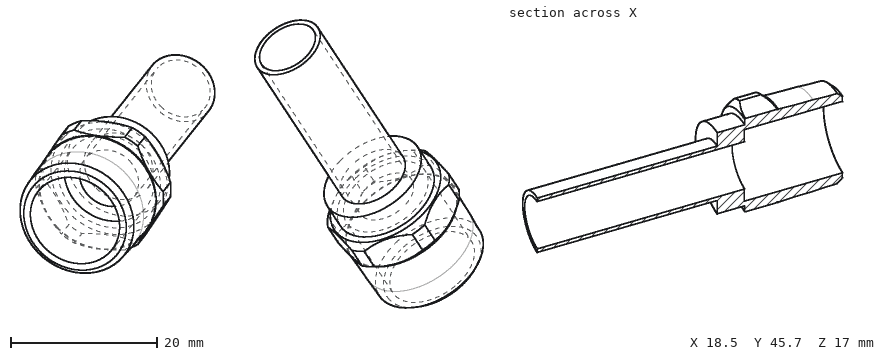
import cadquery as cq
import math

total_length = 45.7
thread_chamfer = 0.8
gauge_plane = 4.5
thread_length = 9.7
hex_length = 5.0
collar_length = 4.1

hex_end = thread_length + hex_length
collar_end = hex_end + collar_length

tube_radius = 5.0
collar_radius = 7.4
thread_tip_radius = 8.23
gauge_radius = 8.35
thread_base_radius = 8.5
hex_across_flats = 17.0
hex_corner_diameter = 18.5
hex_chamfer = 0.85

through_radius = 4.25
counterbore_radius = 6.45
counterbore_depth = hex_end


def revolve_about_y(points):
    """Revolve a (radius, Y) outline about the Y axis."""
    return cq.Workplane("XY").polyline(points).close().revolve(360, (0, 0, 0), (0, 1, 0))


def round_stem():
    """Tapered thread, collar and tube as one turned body."""
    return revolve_about_y([
        (0, 0),
        (thread_tip_radius - thread_chamfer, 0),
        (thread_tip_radius, thread_chamfer),
        (gauge_radius, gauge_plane),
        (thread_base_radius, thread_length),
        (collar_radius, thread_length),
        (collar_radius, collar_end),
        (tube_radius, collar_end),
        (tube_radius, total_length),
        (0, total_length),
    ])


def hexagon():
    """Wrench hexagon with flats facing +Z and -Z, its corners turned and chamfered."""
    sharp_corner_diameter = hex_across_flats / math.cos(math.pi / 6)
    prism = (
        cq.Workplane("XZ", origin=(0, thread_length, 0))
        .polygon(6, sharp_corner_diameter)
        .extrude(-hex_length)
    )
    corner_radius = hex_corner_diameter / 2
    face_radius = corner_radius - hex_chamfer
    turned_blank = revolve_about_y([
        (0, thread_length),
        (face_radius, thread_length),
        (corner_radius, thread_length + hex_chamfer),
        (corner_radius, hex_end - hex_chamfer),
        (face_radius, hex_end),
        (0, hex_end),
    ])
    return prism.intersect(turned_blank)


def bore():
    """Through hole opened out by a counterbore at the threaded end."""
    return revolve_about_y([
        (0, 0),
        (counterbore_radius, 0),
        (counterbore_radius, counterbore_depth),
        (through_radius, counterbore_depth),
        (through_radius, total_length),
        (0, total_length),
    ])


result = round_stem().union(hexagon()).cut(bore())